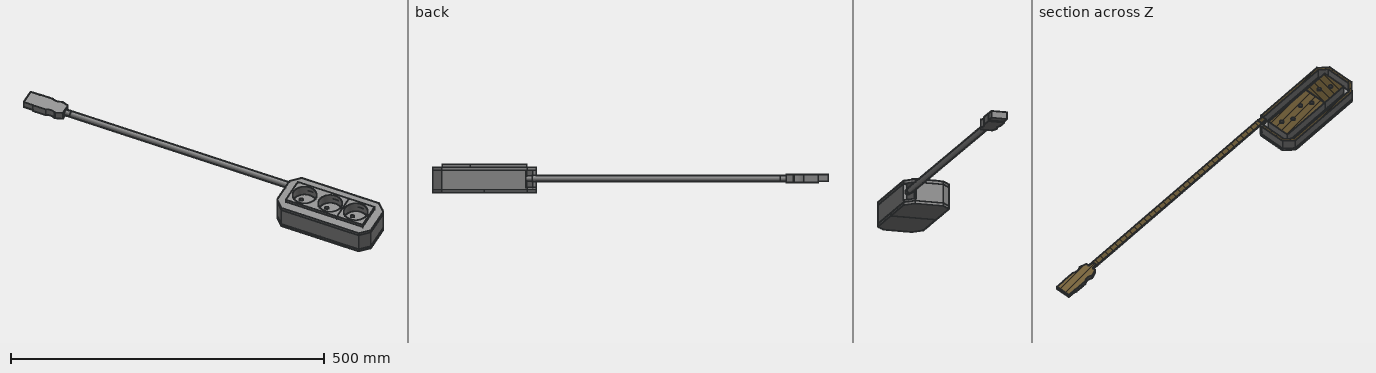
import cadquery as cq
import math


total_length = 630.11
total_width = 82.05
total_height = 45.25

housing_length = 165.0
housing_width = 76.0
housing_corner = 14.5
housing_wall = 5.5
notch_floor_z = 8.25
base_thickness = 4.75
lid_underside_z = 35.5
lid_top_z = 40.5
housing_center_x = total_length - housing_length / 2
housing_left_x = total_length - housing_length
housing_back_y = housing_width / 2
inner_corner = housing_corner - housing_wall * (2 - math.sqrt(2))
notch_size = housing_wall + inner_corner

module_size = 45.0
module_count = 3
insert_left_x = housing_center_x - module_count * module_size / 2
well_diameter = 38.4
well_depth = 17.5
pin_hole_diameter = 5.75
pin_hole_depth = 10.0
pin_spacing = 19.0
pin_angle = -30.0
under_body_width = 41.0

plug_length = 67.3
plug_width = 27.0
plug_thickness = 13.0
plug_tip_length = 16.0
plug_tip_side_step = 0.4
plug_tip_bottom_step = 1.75
grip_start_x = 39.0
grip_end_x = 54.3
grip_depth = 2.3
taper_start_x = 55.9
plug_end_width = 19.0

cable_diameter = 10.0
stub_diameter = 8.6
plug_stub_length = 9.6
cable_end_x = 471.7
cable_y = total_width - housing_back_y - plug_width / 2
cable_z = total_height / 2 - 0.1


def octagon(length, width, corner, height):
    """Block on Z = 0, centred on the housing, with its four upright corners cut at 45 degrees."""
    block = cq.Workplane("XY").box(length, width, height, centered=(True, True, False))
    return block.edges("|Z").chamfer(corner).translate((housing_center_x, 0, 0))


def cylinder_along_x(diameter, start_x, end_x):
    """Round bar on the cable axis."""
    section = cq.Workplane("YZ", origin=(start_x, cable_y, cable_z)).circle(diameter / 2)
    return section.extrude(end_x - start_x)


def make_base_half(side):
    """Half of the base plate: side -1 is the cable end, side +1 the far end."""
    plate = octagon(housing_length, housing_width, housing_corner, base_thickness)
    half_length = housing_length / 2
    half = (
        cq.Workplane("XY")
        .box(half_length, housing_width, base_thickness, centered=(True, True, False))
        .translate((housing_center_x + side * half_length / 2, 0, 0))
    )
    return plate.intersect(half)


def make_ring():
    """Housing wall, open at the corner where the cable comes in."""
    height = lid_underside_z - base_thickness
    outer = octagon(housing_length, housing_width, housing_corner, height)
    inner_length = housing_length - 2 * housing_wall
    inner_width = housing_width - 2 * housing_wall
    inner = octagon(inner_length, inner_width, inner_corner, height)
    notch = (
        cq.Workplane("XY")
        .box(notch_size, notch_size, lid_underside_z - notch_floor_z, centered=False)
        .translate((housing_left_x, housing_back_y - notch_size, notch_floor_z))
    )
    return outer.cut(inner).translate((0, 0, base_thickness)).cut(notch)


def make_lid():
    """Flat lid with a window that the socket inserts fill."""
    thickness = lid_top_z - lid_underside_z
    plate = octagon(housing_length, housing_width, housing_corner, thickness)
    window = (
        cq.Workplane("XY")
        .box(module_count * module_size, module_size, thickness, centered=(True, True, False))
        .translate((housing_center_x, 0, 0))
    )
    return plate.cut(window).translate((0, 0, lid_underside_z))


def make_insert(first_module, modules):
    """Socket insert: a plate in the lid window over a narrower body, with one well per module."""
    left_x = insert_left_x + first_module * module_size
    length = modules * module_size
    center_x = left_x + length / 2
    plate = (
        cq.Workplane("XY", origin=(center_x, 0, lid_underside_z))
        .rect(length, module_size)
        .extrude(total_height - lid_underside_z)
    )
    under_body = (
        cq.Workplane("XY", origin=(center_x, 0, base_thickness))
        .rect(length, under_body_width)
        .extrude(lid_underside_z - base_thickness)
    )
    insert = plate.union(under_body)
    for index in range(modules):
        well_x = left_x + (index + 0.5) * module_size
        top = cq.Workplane("XY", origin=(well_x, 0, total_height))
        well = top.circle(well_diameter / 2).extrude(-well_depth)
        pin_holes = (
            top.workplane(offset=-well_depth)
            .polarArray(pin_spacing / 2, pin_angle, 360, 2)
            .circle(pin_hole_diameter / 2)
            .extrude(-pin_hole_depth)
        )
        insert = insert.cut(well).cut(pin_holes)
    return insert


def make_plug():
    """Flat plug with a stepped tip, concave side grips, a tapered tail and a stub for the cable."""
    half_width = plug_width / 2
    tip_half = half_width - plug_tip_side_step
    end_half = plug_end_width / 2
    grip_middle_x = (grip_start_x + grip_end_x) / 2
    grip_half = half_width - grip_depth
    plug = (
        cq.Workplane("XY")
        .moveTo(0, -tip_half)
        .lineTo(plug_tip_length, -tip_half)
        .lineTo(plug_tip_length, -half_width)
        .lineTo(grip_start_x, -half_width)
        .threePointArc((grip_middle_x, -grip_half), (grip_end_x, -half_width))
        .lineTo(taper_start_x, -half_width)
        .lineTo(plug_length, -end_half)
        .lineTo(plug_length, end_half)
        .lineTo(taper_start_x, half_width)
        .lineTo(grip_end_x, half_width)
        .threePointArc((grip_middle_x, grip_half), (grip_start_x, half_width))
        .lineTo(plug_tip_length, half_width)
        .lineTo(plug_tip_length, tip_half)
        .lineTo(0, tip_half)
        .close()
        .extrude(plug_thickness)
    )
    step = cq.Workplane("XY").box(
        plug_tip_length, plug_width, plug_tip_bottom_step, centered=(False, True, False)
    )
    plug = plug.cut(step).translate((0, cable_y, cable_z - plug_thickness / 2))
    return plug.union(plug_stub())


def plug_stub():
    """Round stub behind the plug that sits inside the cable end."""
    return cylinder_along_x(stub_diameter, plug_length, plug_length + plug_stub_length)


def make_cable():
    """Cable from the plug to just outside the housing, bored for the plug stub."""
    return cylinder_along_x(cable_diameter, plug_length, cable_end_x).cut(plug_stub())


def make_cable_entry():
    """Thinner round piece from the cable end through the notch to the cut end of the wall."""
    return cylinder_along_x(stub_diameter, cable_end_x, housing_left_x + notch_size)


base_halves = [make_base_half(side) for side in (-1, 1)]
ring = make_ring()
lid = make_lid()
double_insert = make_insert(0, 2)
single_insert = make_insert(2, 1)
plug = make_plug()
cable = make_cable()
cable_entry = make_cable_entry()

result = cq.Compound.makeCompound(
    [
        *[half.val() for half in base_halves],
        ring.val(),
        lid.val(),
        double_insert.val(),
        single_insert.val(),
        plug.val(),
        cable.val(),
        cable_entry.val(),
    ]
)